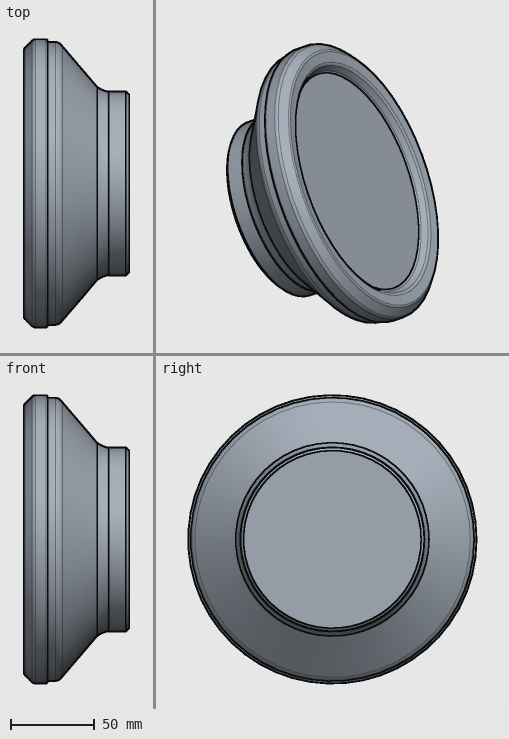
import cadquery as cq

front_round_depth = 0.5
bevel_end = 4.9
rim_start = 6.8
bezel_back = 14.3
dish_depth = 0.8
lip_depth = 1.7
wall_end = 5.1
window_depth = 5.9

bezel_radius = 172.31 / 2
bevel_radius = 85.2
back_edge_radius = 1.2
front_outer_radius = 80.8
front_rim_radius = 79.4
dish_inner_radius = 73.0
lip_radius = 71.2
wall_inner_radius = 69.0
window_radius = 67.8

shoulder_start = 18.9
cone_start = 22.9
flare_start = 43.8
neck_start = 50.2
collar_start = 50.9
overall_length = 63.06

housing_radius = 169.2 / 2
cone_large_radius = 82.2
cone_small_radius = 57.7
neck_radius = 109.6 / 2
collar_radius = 110.0 / 2
collar_chamfer = 2.0

front_round_mid = (0.14, 80.13)
rim_mid = (5.8, 85.85)
lip_mid = (1.1, 72.0)
wall_foot_mid = (5.65, 68.5)
shoulder_mid = (21.1, 83.9)
flare_mid = (46.8, 56.0)


def revolve_about_x(profile):
    """Turn a closed (X, radius) profile into a solid of revolution about the X axis."""
    return profile.revolve(360, (0, 0, 0), (1, 0, 0))


def make_bezel():
    """Front ring: bevelled rim, slightly dished face and a tapered, rounded window."""
    profile = (
        cq.Workplane("XY")
        .moveTo(0, front_rim_radius)
        .threePointArc(front_round_mid, (front_round_depth, front_outer_radius))
        .lineTo(bevel_end, bevel_radius)
        .threePointArc(rim_mid, (rim_start, bezel_radius))
        .lineTo(bezel_back - back_edge_radius, bezel_radius)
        .radiusArc((bezel_back, bezel_radius - back_edge_radius), back_edge_radius)
        .lineTo(bezel_back, window_radius)
        .lineTo(window_depth, window_radius)
        .threePointArc(wall_foot_mid, (wall_end, wall_inner_radius))
        .lineTo(lip_depth, lip_radius)
        .threePointArc(lip_mid, (dish_depth, dish_inner_radius))
        .close()
    )
    return revolve_about_x(profile)


def make_housing():
    """Conical body whose front plug fills the window of the bezel."""
    profile = (
        cq.Workplane("XY")
        .moveTo(window_depth, 0)
        .lineTo(window_depth, window_radius)
        .lineTo(bezel_back, window_radius)
        .lineTo(bezel_back, housing_radius)
        .lineTo(shoulder_start, housing_radius)
        .threePointArc(shoulder_mid, (cone_start, cone_large_radius))
        .lineTo(flare_start, cone_small_radius)
        .threePointArc(flare_mid, (neck_start, neck_radius))
        .lineTo(collar_start, neck_radius)
        .lineTo(collar_start, collar_radius)
        .lineTo(overall_length - collar_chamfer, collar_radius)
        .lineTo(overall_length, collar_radius - collar_chamfer)
        .lineTo(overall_length, 0)
        .close()
    )
    return revolve_about_x(profile)


bezel = make_bezel()
housing = make_housing()
result = cq.Compound.makeCompound([bezel.val(), housing.val()])